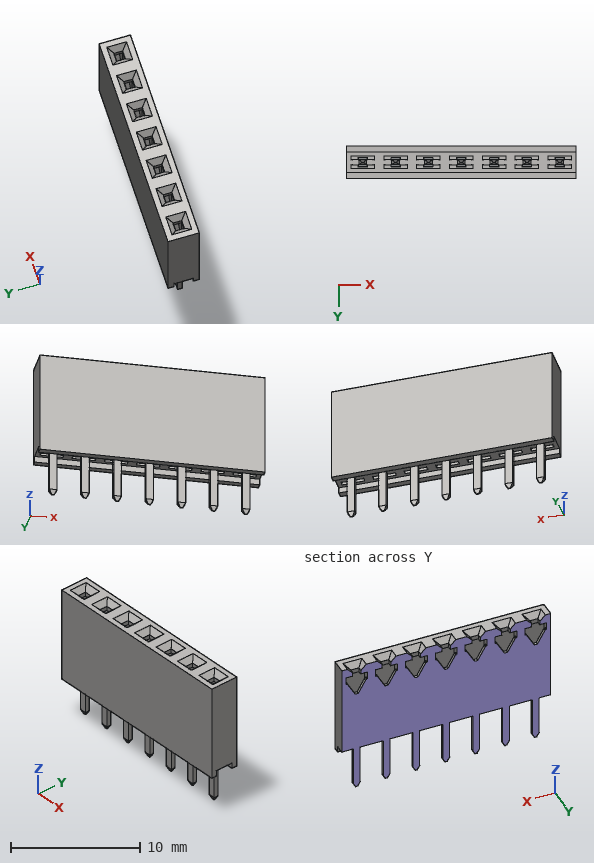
import cadquery as cq

contact_count = 7
length = 17.78
depth = 2.55
body_height = 8.4
total_height = 11.6
pitch = length / contact_count

channel_width = 1.56
channel_height = 0.5

mouth_side = 1.6
throat_side = 0.7
funnel_depth = 0.46
throat_length = 0.37

cavity_length = 1.81
cavity_width = 1.0

contact_thickness = 0.4
pin_width = 0.6
tip_height = 0.37
tip_width = 0.2
tip_thickness = 0.07
contact_top_drop = 1.42
fork_depth = 1.17
fork_mouth = 1.6
fork_gap = 0.25

pin_bottom = body_height - total_height
contact_top = body_height - contact_top_drop
contact_centres = [(i - (contact_count - 1) / 2) * pitch for i in range(contact_count)]


def block(size_x, size_y, z_low, z_high):
    """Box centred on the Z axis between two heights."""
    box = cq.Workplane("XY").box(size_x, size_y, z_high - z_low, centered=(True, True, False))
    return box.translate((0, 0, z_low))


def frustum(start, end, z_start, z_end):
    """Rectangular frustum between two (x, y) sections at two heights."""
    base = cq.Workplane("XY", origin=(0, 0, z_start)).rect(*start)
    return base.workplane(offset=z_end - z_start).rect(*end).loft(ruled=True)


def make_housing():
    """Rectangular housing with an open channel along its underside."""
    housing = block(length, depth, 0, body_height)
    return housing.cut(block(length, channel_width, 0, channel_height))


def make_socket():
    """Lead-in funnel, throat and contact cavity, open to the channel below."""
    throat_top = body_height - funnel_depth
    throat_bottom = throat_top - throat_length
    funnel = frustum((mouth_side, mouth_side), (throat_side, throat_side), body_height, throat_top)
    throat = block(throat_side, throat_side, throat_bottom, throat_top)
    cavity = block(cavity_length, cavity_width, channel_height, throat_bottom)
    return funnel.union(throat).union(cavity)


def make_contact():
    """Strip spanning the cavity, with a V-shaped fork on top and a tapered pin below."""
    fork_bottom = contact_top - fork_depth
    strip = block(cavity_length, contact_thickness, channel_height, contact_top)
    fork = (
        cq.Workplane("XZ")
        .moveTo(-fork_mouth / 2, contact_top)
        .lineTo(-fork_gap / 2, fork_bottom)
        .lineTo(fork_gap / 2, fork_bottom)
        .lineTo(fork_mouth / 2, contact_top)
        .close()
        .extrude(contact_thickness / 2, both=True)
    )
    pin_section = (pin_width, contact_thickness)
    tip_section = (tip_width, tip_thickness)
    pin = block(*pin_section, pin_bottom + tip_height, channel_height)
    tip = frustum(pin_section, tip_section, pin_bottom + tip_height, pin_bottom)
    return strip.cut(fork).union(pin).union(tip)


result = make_housing()
for x in contact_centres:
    result = result.cut(make_socket().translate((x, 0, 0)))
    result = result.union(make_contact().translate((x, 0, 0)))